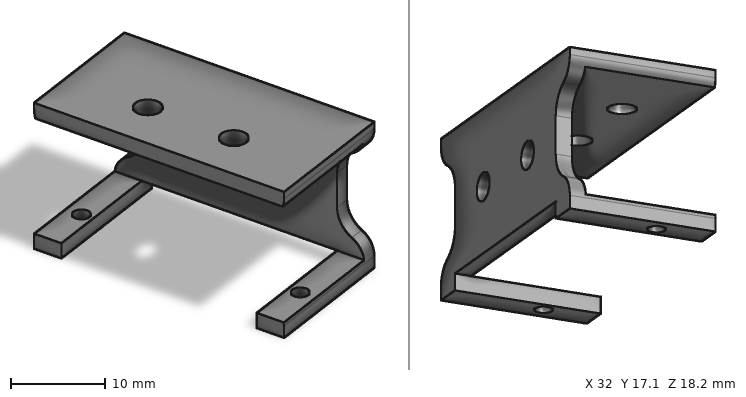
import cadquery as cq
import math

length = 32.0
depth = 17.08
height = 18.18
thickness = 1.9

waist_depth = 3.5
waist_center_z = 9.4
waist_straight = 4.31
outer_radius = 3.0
inner_radius = 3.5

foot_width = waist_depth
foot_hole_diameter = 2.0
foot_hole_inset = 2.0

mount_hole_diameter = 3.17
mount_hole_spacing = 11.0
hole_setback = 6.0

half_length = length / 2
hole_offset_x = mount_hole_spacing / 2
foot_hole_x = half_length - foot_hole_inset

s_angle = math.acos(1 - waist_depth / (outer_radius + inner_radius))
s_height = (outer_radius + inner_radius) * math.sin(s_angle)


def s_curve_points():
    """Points on one S-curve as (distance in from the end, distance up from its outer end)."""
    half = s_angle / 2
    outer_mid = (outer_radius * (1 - math.cos(half)), outer_radius * math.sin(half))
    joint = (outer_radius * (1 - math.cos(s_angle)), outer_radius * math.sin(s_angle))
    inner_mid = (
        waist_depth - inner_radius * (1 - math.cos(half)),
        s_height - inner_radius * math.sin(half),
    )
    return outer_mid, joint, inner_mid, (waist_depth, s_height)


def channel():
    """C-shaped channel: top plate, back wall and bottom plate."""
    body = cq.Workplane("XY").box(length, depth, height, centered=(True, False, False))
    cavity = (
        cq.Workplane("XY")
        .box(length, depth - thickness, height - 2 * thickness, centered=(True, False, False))
        .translate((0, 0, thickness))
    )
    return body.cut(cavity)


def waist_cutter(side):
    """Notch through the full depth at the end given by side (-1 or +1)."""
    half_notch = waist_straight / 2 + s_height

    def lower(point):
        return side * (half_length - point[0]), waist_center_z - half_notch + point[1]

    def upper(point):
        return side * (half_length - point[0]), waist_center_z + half_notch - point[1]

    end = (0, 0)
    outer_mid, joint, inner_mid, inner_end = s_curve_points()
    return (
        cq.Workplane("XZ")
        .moveTo(*lower(end))
        .threePointArc(lower(outer_mid), lower(joint))
        .threePointArc(lower(inner_mid), lower(inner_end))
        .lineTo(*upper(inner_end))
        .threePointArc(upper(inner_mid), upper(joint))
        .threePointArc(upper(outer_mid), upper(end))
        .close()
        .extrude(-depth)
    )


def foot_gap():
    """Opening that splits the bottom plate into two feet."""
    return cq.Workplane("XY").box(
        length - 2 * foot_width, depth, thickness, centered=(True, False, False)
    )


def vertical_holes(diameter, offset_x, base_z):
    """Pair of holes at plus and minus offset_x, through one plate thickness."""
    return (
        cq.Workplane("XY", origin=(0, 0, base_z))
        .pushPoints([(-offset_x, hole_setback), (offset_x, hole_setback)])
        .circle(diameter / 2)
        .extrude(thickness)
    )


def wall_holes():
    """Pair of mounting holes through the back wall, level with the middle of the waist."""
    return (
        cq.Workplane("XZ", origin=(0, depth, 0))
        .pushPoints([(-hole_offset_x, waist_center_z), (hole_offset_x, waist_center_z)])
        .circle(mount_hole_diameter / 2)
        .extrude(thickness)
    )


result = channel().cut(foot_gap())
for end_side in (-1, 1):
    result = result.cut(waist_cutter(end_side))
result = result.cut(vertical_holes(mount_hole_diameter, hole_offset_x, height - thickness))
result = result.cut(vertical_holes(foot_hole_diameter, foot_hole_x, 0))
result = result.cut(wall_holes())